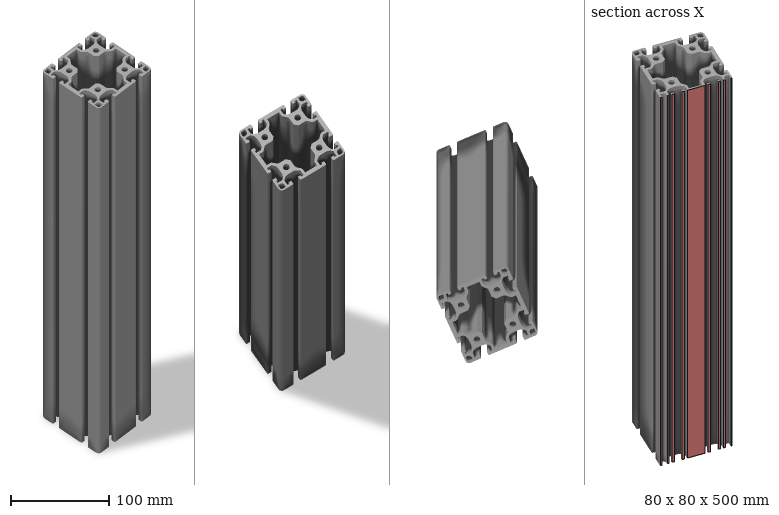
import cadquery as cq
import math

side = 80.0
length = 500.0
corner_radius = 4.0
half = side / 2
edge_margin = 1.0

slot_offset = 20.0
slot_opening = 8.2
slot_inner_width = 19.8
slot_floor_width = 12.6
slot_depth = 12.25
lip_thickness = 4.5
lip_root_thickness = 2.8
lip_nose_width = 3.2
lip_radius = 1.0
slot_floor_radius = 8.0

bore_diameter = 6.8
boss_side = 2 * (half - slot_depth - slot_offset)
boss_chamfer = 3.5
wall_thickness = 2.9
web_radius = 4.0
face_thickness = 4.5

corner_wall = 1.8
corner_web = 2.4
corner_hollow_radius = corner_radius - corner_wall
corner_hollow_chamfer = 2.0


def on_each_side(make_shape):
    """Union of a shape repeated by quarter turns about the profile axis."""
    combined = make_shape()
    for quarter in (1, 2, 3):
        turned = make_shape().rotate((0, 0, 0), (0, 0, 1), 90 * quarter)
        combined = combined.union(turned)
    return combined


def body():
    return cq.Workplane("XY").rect(side, side).extrude(length).edges("|Z").fillet(corner_radius)


def slot(centre_x):
    """One T-slot open to the +Y side, with rounded lips and a bottom tapered at 45 degrees."""
    opening = slot_opening / 2
    nose = opening + lip_nose_width
    wall = slot_inner_width / 2
    floor = slot_floor_width / 2
    floor_y = half - slot_depth
    lip_y = half - lip_thickness
    root_y = half - lip_root_thickness
    taper_y = floor_y + wall - floor
    arc_step = lip_radius * (1 - math.sqrt(0.5))
    floor_edges = cq.selectors.BoxSelector(
        (centre_x - wall, floor_y - edge_margin, 0), (centre_x + wall, floor_y + edge_margin, length)
    )
    return (
        cq.Workplane("XY", origin=(centre_x, 0, 0))
        .moveTo(-floor, floor_y)
        .lineTo(floor, floor_y)
        .lineTo(wall, taper_y)
        .lineTo(wall, root_y)
        .lineTo(nose, root_y)
        .lineTo(nose, lip_y)
        .lineTo(opening, lip_y)
        .lineTo(opening, half - lip_radius)
        .threePointArc((opening + arc_step, half - arc_step), (opening + lip_radius, half))
        .lineTo(-opening - lip_radius, half)
        .threePointArc((-opening - arc_step, half - arc_step), (-opening, half - lip_radius))
        .lineTo(-opening, lip_y)
        .lineTo(-nose, lip_y)
        .lineTo(-nose, root_y)
        .lineTo(-wall, root_y)
        .lineTo(-wall, taper_y)
        .close()
        .extrude(length)
        .edges("|Z").edges(floor_edges).fillet(slot_floor_radius)
    )


def slot_pair():
    return slot(-slot_offset).union(slot(slot_offset))


def cavity_arm():
    """Arm of the central cavity toward +Y, its webs parallel to the slot walls."""
    throat = slot_offset - slot_inner_width / 2 - wall_thickness
    boss_edge = slot_offset - boss_side / 2
    taper_x = slot_offset - slot_floor_width / 2
    taper_sum = taper_x + half - slot_depth - wall_thickness * math.sqrt(2)
    taper_start_y = taper_sum - boss_edge
    taper_end_y = taper_sum - throat
    web_bends = cq.selectors.BoxSelector(
        (-half, taper_start_y - edge_margin, 0), (half, taper_end_y + edge_margin, length)
    )
    return (
        cq.Workplane("XY")
        .polyline([
            (-boss_edge, 0),
            (boss_edge, 0),
            (boss_edge, taper_start_y),
            (throat, taper_end_y),
            (throat, half - face_thickness),
            (-throat, half - face_thickness),
            (-throat, taper_end_y),
            (-boss_edge, taper_start_y),
        ])
        .close()
        .extrude(length)
        .edges("|Z").edges(web_bends).fillet(web_radius)
    )


def central_cavity():
    """Cross-shaped cavity whose four re-entrant corners bevel the bosses."""
    boss_edge = slot_offset - boss_side / 2
    reach = boss_edge + edge_margin
    corner_box = cq.selectors.BoxSelector((-reach, -reach, 0), (reach, reach, length))
    return on_each_side(cavity_arm).edges("|Z").edges(corner_box).chamfer(boss_chamfer)


def corner_hollow():
    """Hollow in the (+X, +Y) corner, rounded outside and chamfered toward the web."""
    inner = slot_offset + slot_inner_width / 2 + corner_web
    outer = half - corner_wall
    return (
        cq.Workplane("XY")
        .rect(outer - inner, outer - inner)
        .extrude(length)
        .translate(((inner + outer) / 2, (inner + outer) / 2, 0))
        .edges("|Z").edges(">(1, 1, 0)").fillet(corner_hollow_radius)
        .edges("|Z").edges("<(1, 1, 0)").chamfer(corner_hollow_chamfer)
    )


def bores():
    return (
        cq.Workplane("XY")
        .rect(2 * slot_offset, 2 * slot_offset, forConstruction=True)
        .vertices()
        .circle(bore_diameter / 2)
        .extrude(length)
    )


result = (
    body()
    .cut(on_each_side(slot_pair))
    .cut(central_cavity())
    .cut(on_each_side(corner_hollow))
    .cut(bores())
    .solids()
)